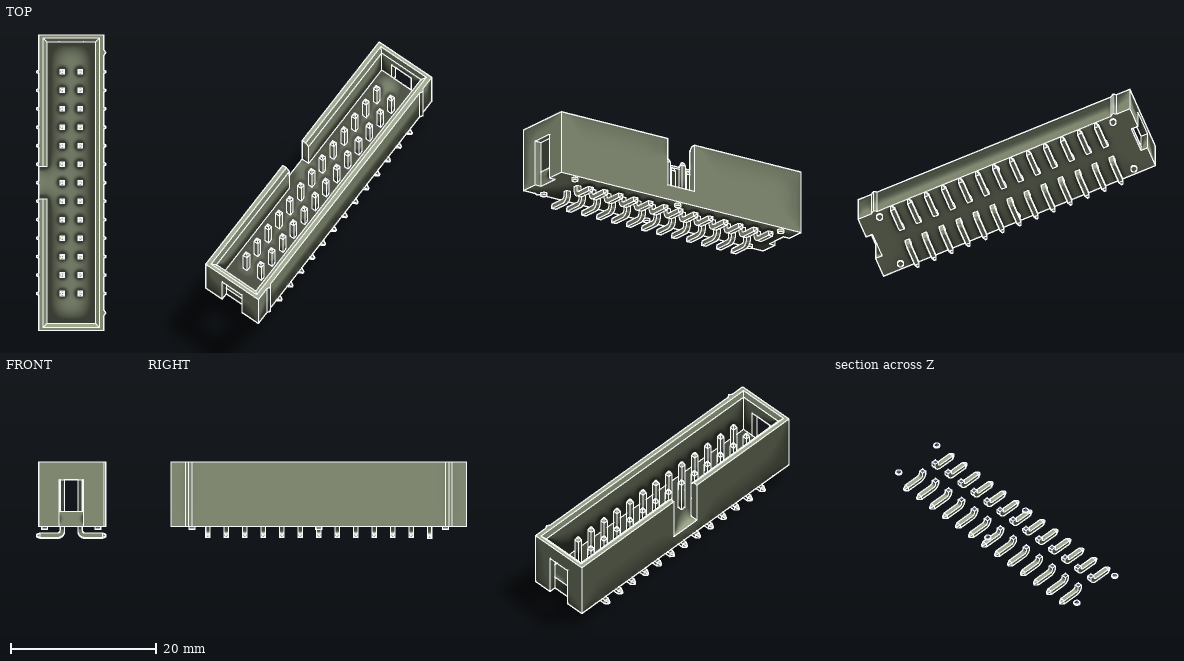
import cadquery as cq

LENGTH = 40.65
BODY_WIDTH = 8.95
LEAD_SPAN = 9.5
TOTAL_HEIGHT = 10.53
LEAD_DROP = 1.63
BODY_HEIGHT = TOTAL_HEIGHT - LEAD_DROP

FLOOR = 2.1
SIDE_WALL = 1.15
END_WALL = 0.98
SIDE_RIM = 0.6
END_RIM = 0.45
LEAD_IN_DEPTH = 0.53

KEY_WIDTH = 4.5
END_SLOT_WIDTH = 3.35
END_SLOT_HEIGHT = 6.42

PINS_PER_ROW = 13
PIN_PITCH = 2.54
ROW_SPACING = 2.45
PIN_SIZE = 0.65
PIN_TOP_GAP = 1.6
END_PIN_DROP = 0.12
BEND_RADIUS = 0.7
TIP_LENGTH = 0.5
TIP_SIZE = 0.25

POST_DIAMETER = 0.85
POST_HEIGHT = 0.35
POST_X = 3.65
POST_Y = 17.45
RIB_Y = 17.9
RIB_WIDTH = 0.85
RIB_HEIGHT = 0.3


def cavity():
    """Pocket open at the top, widening at the mouth."""
    inner_x = BODY_WIDTH - 2 * SIDE_WALL
    inner_y = LENGTH - 2 * END_WALL
    pocket = (
        cq.Workplane("XY", origin=(0, 0, FLOOR))
        .rect(inner_x, inner_y)
        .extrude(BODY_HEIGHT - FLOOR)
    )
    lead_in = (
        cq.Workplane("XY", origin=(0, 0, BODY_HEIGHT - LEAD_IN_DEPTH))
        .rect(inner_x, inner_y)
        .workplane(offset=LEAD_IN_DEPTH)
        .rect(BODY_WIDTH - 2 * SIDE_RIM, LENGTH - 2 * END_RIM)
        .loft(ruled=True)
    )
    return pocket.union(lead_in)


def key_notch():
    """Notch through the -X wall, from the rim down to the floor."""
    return cq.Workplane("XY", origin=(-BODY_WIDTH / 2, 0, FLOOR)).box(
        2 * SIDE_WALL, KEY_WIDTH, BODY_HEIGHT - FLOOR, centered=(True, True, False)
    )


def end_slot(side):
    """Slot through one short wall, open at the underside."""
    return cq.Workplane("XY", origin=(0, side * LENGTH / 2, 0)).box(
        END_SLOT_WIDTH, 2 * END_WALL, END_SLOT_HEIGHT, centered=(True, True, False)
    )


def rib(y):
    """Upright rib of triangular section on the +X wall."""
    wall_x = BODY_WIDTH / 2
    section = [(wall_x, y - RIB_WIDTH / 2), (wall_x + RIB_HEIGHT, y), (wall_x, y + RIB_WIDTH / 2)]
    return cq.Workplane("XY").polyline(section).close().extrude(BODY_HEIGHT)


def posts():
    """Round standoffs under the housing."""
    points = [(x, y) for x in (-POST_X, POST_X) for y in (-POST_Y, 0, POST_Y)]
    return (
        cq.Workplane("XY")
        .pushPoints(points)
        .circle(POST_DIAMETER / 2)
        .extrude(-POST_HEIGHT)
    )


def tip(plane):
    """Tapered end of the wire, growing along the plane's normal."""
    return (
        cq.Workplane(plane)
        .rect(PIN_SIZE, PIN_SIZE)
        .workplane(offset=TIP_LENGTH)
        .rect(TIP_SIZE, TIP_SIZE)
        .loft(ruled=True)
    )


def pin():
    """One pin at Y = 0 in the +X row, its foot pointing along +X."""
    pin_x = ROW_SPACING / 2
    foot_z = PIN_SIZE / 2 - LEAD_DROP + END_PIN_DROP
    shank_top = BODY_HEIGHT - PIN_TOP_GAP - TIP_LENGTH
    foot_end = LEAD_SPAN / 2 - TIP_LENGTH
    path = (
        cq.Workplane("XZ")
        .moveTo(pin_x, shank_top)
        .lineTo(pin_x, foot_z + BEND_RADIUS)
        .radiusArc((pin_x + BEND_RADIUS, foot_z), -BEND_RADIUS)
        .lineTo(foot_end, foot_z)
    )
    wire = cq.Workplane("XY", origin=(pin_x, 0, shank_top)).rect(PIN_SIZE, PIN_SIZE).sweep(path)
    top_tip = tip(cq.Plane(origin=(pin_x, 0, shank_top)))
    foot_tip = tip(cq.Plane(origin=(foot_end, 0, foot_z), xDir=(0, 1, 0), normal=(1, 0, 0)))
    return wire.union(top_tip).union(foot_tip)


housing = cq.Workplane("XY").box(BODY_WIDTH, LENGTH, BODY_HEIGHT, centered=(True, True, False))
housing = housing.cut(cavity()).cut(key_notch())
for side in (-1, 1):
    housing = housing.cut(end_slot(side)).union(rib(side * RIB_Y))

result = housing.union(posts())
right_pin = pin()
left_pin = right_pin.mirror("YZ")
for i in range(PINS_PER_ROW):
    pin_y = (i - (PINS_PER_ROW - 1) / 2) * PIN_PITCH
    pin_drop = END_PIN_DROP if i == PINS_PER_ROW - 1 else 0
    for row_pin in (left_pin, right_pin):
        result = result.union(row_pin.translate((0, pin_y, -pin_drop)))